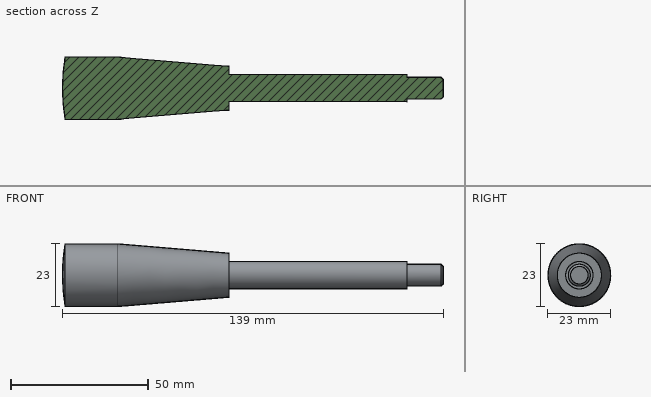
import cadquery as cq

total_length = 139.0
start_x = -total_length / 2
end_x = total_length / 2

grip_radius = 23.0 / 2
grip_length = 60.9
dome_height = 1.0
barrel_end = 20.2
taper_end_radius = 8.0

rod_radius = 10.0 / 2
pin_radius = 8.0 / 2
pin_length = 13.2
pin_chamfer = 0.8

grip_end_x = start_x + grip_length
pin_start_x = end_x - pin_length


def make_grip():
    """Revolved grip with a shallow spherical end."""
    sphere_radius = (grip_radius**2 + dome_height**2) / (2 * dome_height)
    mid_radius = grip_radius / 2
    mid_depth = sphere_radius - (sphere_radius**2 - mid_radius**2) ** 0.5
    return (
        cq.Workplane("XZ")
        .moveTo(start_x, 0)
        .threePointArc((start_x + mid_depth, mid_radius), (start_x + dome_height, grip_radius))
        .lineTo(start_x + barrel_end, grip_radius)
        .lineTo(grip_end_x, taper_end_radius)
        .lineTo(grip_end_x, 0)
        .close()
        .revolve(360, (0, 0, 0), (1, 0, 0))
    )


def make_round_bar(from_x, to_x, radius):
    return cq.Workplane("YZ").workplane(offset=from_x).circle(radius).extrude(to_x - from_x)


rod = make_round_bar(grip_end_x, pin_start_x, rod_radius)
pin = make_round_bar(pin_start_x, end_x, pin_radius).faces(">X").chamfer(pin_chamfer)

result = make_grip().union(rod).union(pin)